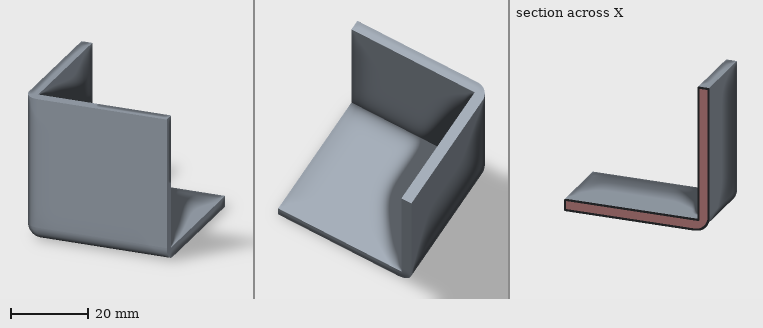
import cadquery as cq

side = 40.0
wall = 3.0
outer_radius = 4.0

cube = cq.Workplane("XY").box(side, side, side, centered=False)

outer_edges = (
    cube.edges("|Z and <X and <Y")
    .add(cube.edges("|X and <Y and <Z"))
    .add(cube.edges("|Y and <X and <Z"))
)
rounded_cube = outer_edges.fillet(outer_radius)

inner_side = side - wall
inner_space = (
    cq.Workplane("XY")
    .box(inner_side, inner_side, inner_side, centered=False)
    .translate((wall, wall, wall))
)

result = rounded_cube.cut(inner_space)